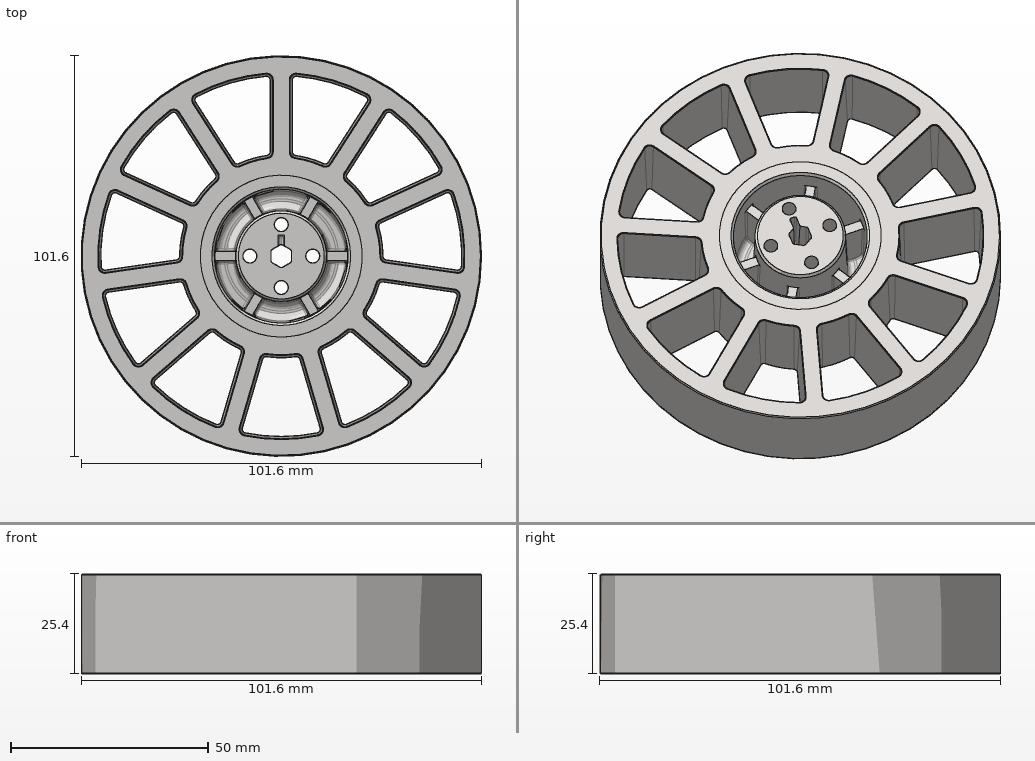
import cadquery as cq
import math

wheel_diameter = 101.6
wheel_width = 25.4
rim_chamfer = 0.3
draft_angle = 1.4
draft = math.radians(draft_angle)

hub_diameter = 41.0
hub_radius = hub_diameter / 2

spoke_count = 11
spoke_width = 4.1
spoke_pitch = 360 / spoke_count
window_outer_radius = 46.5
window_inner_radius = 25.0
window_corner_radius = 1.7
window_chamfer = 0.2

groove_inner_radius = 10.9
groove_outer_radius = 17.6
groove_chamfer = 0.6
groove_floor_width = 0.6
web_thickness = 3.0

rib_count = 6
rib_width = 2.3
rib_depth = 6.4
rib_foot_radius = 0.4

hex_across_flats = 5.2
hex_corner_radius = 0.7
keyway_width = 1.7
keyway_reach = 5.4
keyway_depth = 14.2
keyway_edge_radius = 0.4
bolt_hole_count = 4
bolt_hole_diameter = 3.5
bolt_circle_diameter = 16.0


def turned(solid, angle):
    """The solid turned about the wheel's axis, in degrees."""
    return solid.rotate((0, 0, 0), (0, 0, 1), angle)


def polar(radius, angle):
    return (radius * math.cos(angle), radius * math.sin(angle))


def make_window():
    """Drafted window with a chamfered mouth, centred on +X between parallel-sided spokes."""
    half_pitch = math.radians(spoke_pitch / 2)
    inner_angle = half_pitch - math.asin(spoke_width / 2 / window_inner_radius)
    outer_angle = half_pitch - math.asin(spoke_width / 2 / window_outer_radius)
    outline = (
        cq.Workplane("XY")
        .moveTo(*polar(window_inner_radius, -inner_angle))
        .lineTo(*polar(window_outer_radius, -outer_angle))
        .threePointArc((window_outer_radius, 0), polar(window_outer_radius, outer_angle))
        .lineTo(*polar(window_inner_radius, inner_angle))
        .threePointArc((window_inner_radius, 0), polar(window_inner_radius, -inner_angle))
        .close()
    )
    blank = outline.extrude(wheel_width).edges("|Z").fillet(window_corner_radius)
    mouth = blank.faces(">Z").wires()
    flare = mouth.toPending().extrude(-window_chamfer, combine=False, taper=45)
    throat = flare.faces("<Z").wires().toPending()
    opening = throat.extrude(window_chamfer - wheel_width, combine=False, taper=draft_angle)
    return flare.union(opening)


def make_wheel():
    """Spoked wheel with its rim."""
    wheel = cq.Workplane("XY").circle(wheel_diameter / 2).extrude(wheel_width)
    wheel = wheel.edges().chamfer(rim_chamfer)
    wheel = wheel.cut(cq.Workplane("XY").circle(hub_radius).extrude(wheel_width))
    window = make_window()
    first_window_angle = 90 + spoke_pitch / 2
    for index in range(spoke_count):
        wheel = wheel.cut(turned(window, first_window_angle + index * spoke_pitch))
    return wheel


def ring_groove():
    """Ring with a chamfered mouth, drafted walls and a rounded floor."""
    middle = (groove_inner_radius + groove_outer_radius) / 2
    mouth_half = (groove_outer_radius - groove_inner_radius) / 2
    wall_half = mouth_half - groove_chamfer
    floor_half = groove_floor_width / 2
    chamfer_z = wheel_width - groove_chamfer

    corner_half = wall_half - (chamfer_z - web_thickness) * math.tan(draft)
    tangent_length = corner_half - floor_half
    tangent_half = corner_half + tangent_length * math.sin(draft)
    tangent_z = web_thickness + tangent_length * math.cos(draft)

    profile = (
        cq.Workplane("XZ")
        .moveTo(middle - mouth_half, wheel_width)
        .lineTo(middle - wall_half, chamfer_z)
        .lineTo(middle - tangent_half, tangent_z)
        .tangentArcPoint((middle - floor_half, web_thickness), relative=False)
        .lineTo(middle + floor_half, web_thickness)
        .tangentArcPoint((middle + tangent_half, tangent_z), relative=False)
        .lineTo(middle + wall_half, chamfer_z)
        .lineTo(middle + mouth_half, wheel_width)
        .close()
    )
    return profile.revolve(360, (0, 0, 0), (0, 1, 0))


def groove_rib():
    """Rib along +X, drafted on its sides."""
    top_z = wheel_width - rib_depth
    top_half = rib_width / 2
    base_half = top_half + top_z * math.tan(draft)
    return (
        cq.Workplane("YZ", origin=(groove_inner_radius, 0, 0))
        .polyline([(-base_half, 0), (-top_half, top_z), (top_half, top_z), (base_half, 0)])
        .close()
        .extrude(groove_outer_radius - groove_inner_radius)
    )


def ribbed_groove():
    """The groove parted by the ribs, with rounded feet along every rib."""
    groove = ring_groove()
    rib = groove_rib()
    for index in range(rib_count):
        groove = groove.cut(turned(rib, index * 360 / rib_count))
    return groove.edges("%PARABOLA").fillet(rib_foot_radius)


def hex_bore():
    """Hexagonal through bore with two corners on the Y axis."""
    across_corners = hex_across_flats / math.cos(math.radians(30))
    bore = cq.Workplane("XY").polygon(6, across_corners).extrude(wheel_width)
    return turned(bore.edges("|Z").fillet(hex_corner_radius), 90)


def keyway():
    """Blind drafted slot from the bore toward +Y, with a rounded end and floor."""
    slot = (
        cq.Workplane("XY", origin=(0, keyway_reach / 2, wheel_width))
        .rect(keyway_width, keyway_reach)
        .extrude(-keyway_depth, taper=draft_angle)
    )
    slot = slot.faces(">Y").edges("not #Z").fillet(keyway_edge_radius)
    return slot.faces("<Z").edges().fillet(keyway_edge_radius)


def bolt_holes():
    """Ring of through holes around the bore."""
    return (
        cq.Workplane("XY")
        .polarArray(bolt_circle_diameter / 2, 0, 360, bolt_hole_count)
        .circle(bolt_hole_diameter / 2)
        .extrude(wheel_width)
    )


def make_hub():
    """Hub with a ribbed groove around a bored boss."""
    hub = cq.Workplane("XY").circle(hub_radius).extrude(wheel_width)
    return hub.cut(ribbed_groove()).cut(hex_bore()).cut(keyway()).cut(bolt_holes())


wheel = make_wheel()
hub = make_hub()
result = cq.Compound.makeCompound([wheel.val(), hub.val()])